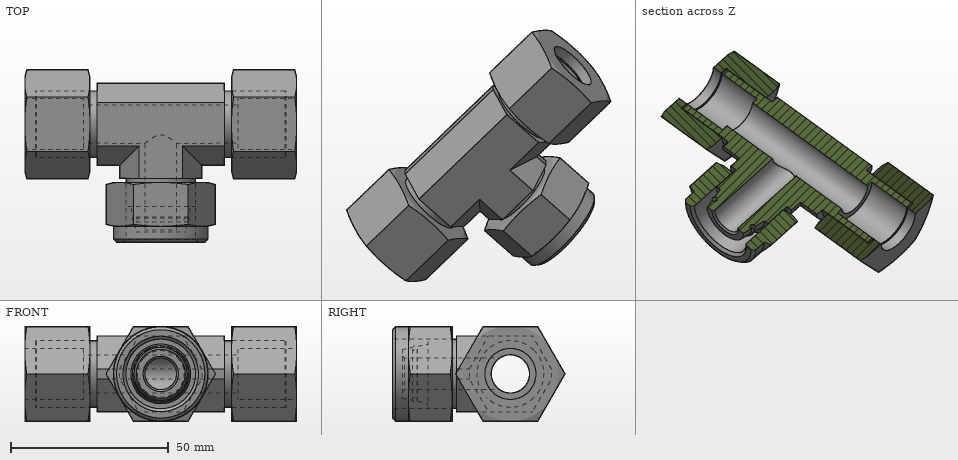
import cadquery as cq
import math

run_half_length = 43.0
nut_flats = 30.0
nut_corner_radius = nut_flats / math.sqrt(3)
overall_depth = 54.7
branch_end = overall_depth - nut_corner_radius
chamfer_angle = math.radians(15)

body_flats = 24.1
body_half_width = 13.0
run_body_half = 20.1
branch_body_end = 17.1
run_stem_radius = 10.6
branch_stem_radius = 11.0
run_bore_radius = 6.0
branch_bore_radius = 5.0
bore_mouth_chamfer = 0.6

tube_radius = 8.1
socket_floor = 24.5
stem_gap = 0.4

cone_half_angle = math.radians(12)
cone_tip = 34.1
cone_tip_radius = 7.7
cone_base_radius = 9.5
cone_base = cone_tip - (cone_base_radius - cone_tip_radius) / math.tan(cone_half_angle)

ring_section_radius = 0.8
ring_radius = 8.2
ring_setback = 3.95
ring_place = cone_tip - ring_setback

run_nut_inner = 22.45
nut_wall = 3.3
run_nut_face_radius = 15.1

swivel_start = 18.4
swivel_hex_end = 32.3
swivel_face_radius = 14.9
collar_chamfer = 1.0
thread_mouth_chamfer = 0.95


def along_x(radius, start, end):
    """Cylinder on the run axis between two X positions."""
    return cq.Workplane("YZ").workplane(offset=start).circle(radius).extrude(end - start)


def along_branch(radius, start, end):
    """Cylinder on the branch axis between two distances from the run axis."""
    return cq.Workplane("XZ").workplane(offset=start).circle(radius).extrude(end - start)


def hexagon(plane, flats, start, end):
    """Hexagonal prism with flats at +Z and -Z."""
    corner_diameter = 2 * flats / math.sqrt(3)
    return cq.Workplane(plane).workplane(offset=start).polygon(6, corner_diameter).extrude(end - start)


def chamfered_hexagon(plane, start, end, face_radius):
    """Nut hexagon whose corners are turned down by a shallow cone at both ends."""
    turned_depth = nut_corner_radius - face_radius
    drop = turned_depth * math.tan(chamfer_angle)
    turned = (
        cq.Workplane(plane)
        .workplane(offset=start)
        .circle(nut_corner_radius)
        .extrude(end - start)
        .faces("<X or >X" if plane == "YZ" else "<Y or >Y")
        .chamfer(drop, turned_depth)
    )
    return hexagon(plane, nut_flats, start, end).intersect(turned)


def make_o_ring():
    """Ring around the branch axis, also used to cut its own groove in the cone."""
    section = cq.Workplane("XY").center(ring_radius, -ring_place).circle(ring_section_radius)
    return section.revolve(360, (-ring_radius, 0, 0), (-ring_radius, 1, 0))


def make_body_block():
    """Two crossing hexagonal prisms with their outermost corners cut flat."""
    run_trim = cq.Workplane("XY").box(2 * run_body_half, 2 * body_half_width, body_flats)
    branch_trim = cq.Workplane("XY").box(2 * body_half_width, 2 * branch_body_end, body_flats)
    run = hexagon("YZ", body_flats, -run_body_half, run_body_half).intersect(run_trim)
    branch = hexagon("XZ", body_flats, 0, branch_body_end).intersect(branch_trim)
    return run.union(branch)


def make_sealing_cone():
    profile = [
        (0, -cone_base),
        (cone_base_radius, -cone_base),
        (cone_tip_radius, -cone_tip),
        (0, -cone_tip),
    ]
    return cq.Workplane("XY").polyline(profile).close().revolve(360, (0, 0, 0), (0, 1, 0))


def make_tee():
    """Body block with its stems, sealing cone, bores, tube sockets and O-ring groove."""
    stem_end = run_half_length - nut_wall - stem_gap
    stems = along_x(run_stem_radius, -stem_end, stem_end)
    tee = make_body_block().union(stems)
    tee = tee.union(along_branch(branch_stem_radius, 0, cone_base)).union(make_sealing_cone())

    tee = tee.cut(along_x(run_bore_radius, -stem_end, stem_end))
    for start, end in [(-stem_end, -socket_floor), (socket_floor, stem_end)]:
        tee = tee.cut(along_x(tube_radius, start, end))

    tee = tee.cut(along_branch(branch_bore_radius, 0, cone_tip))
    tee = tee.faces("<Y").edges(cq.selectors.RadiusNthSelector(0)).chamfer(bore_mouth_chamfer)
    return tee.cut(make_o_ring())


def make_run_nut(side):
    """Nut on the run end at +X (side = 1) or -X (side = -1)."""
    cavity_end = run_half_length - nut_wall
    start, end = sorted([side * run_nut_inner, side * run_half_length])
    nut = chamfered_hexagon("YZ", start, end, run_nut_face_radius)
    nut = nut.cut(along_x(tube_radius, start, end))
    start, end = sorted([side * run_nut_inner, side * cavity_end])
    return nut.cut(along_x(run_stem_radius, start, end))


def make_swivel_nut():
    """Hexagon with a round collar, turning on the branch stem."""
    collar = along_branch(nut_flats / 2, swivel_hex_end, branch_end)
    collar = collar.faces("<Y").chamfer(collar_chamfer)
    nut = chamfered_hexagon("XZ", swivel_start, swivel_hex_end, swivel_face_radius).union(collar)
    nut = nut.cut(along_branch(branch_stem_radius, swivel_start, branch_end))
    return nut.faces("<Y").edges(cq.selectors.RadiusNthSelector(0)).chamfer(thread_mouth_chamfer)


tee = make_tee()
run_nuts = [make_run_nut(side) for side in (-1, 1)]
swivel_nut = make_swivel_nut()
o_ring = make_o_ring()

result = cq.Compound.makeCompound(
    [tee.val(), *[nut.val() for nut in run_nuts], swivel_nut.val(), o_ring.val()]
)